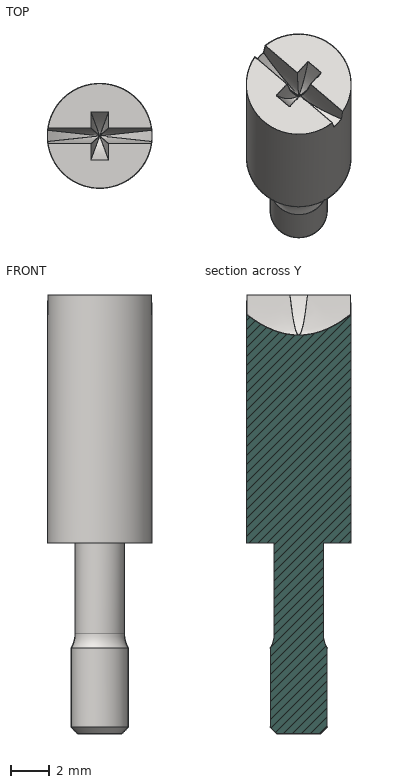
import cadquery as cq
import math

total_length = 23.0
head_length = 13.0
head_base_z = total_length - head_length

head_diameter = 5.5
neck_diameter = 2.6
thread_diameter = 3.0

thread_length = 4.5
tip_chamfer = 0.35
runout_radius = 1.5

recess_depth = 2.1
slot_width = 0.82
slot_edge_depth = 1.0
cross_arm_width = 0.92
cross_arm_length = 2.5


def turned_body():
    """Revolve the half profile of tip, thread, run-out, neck and head about Z."""
    thread_radius = thread_diameter / 2
    neck_radius = neck_diameter / 2
    head_radius = head_diameter / 2

    arc_angle = math.acos(1 - (thread_radius - neck_radius) / runout_radius)
    runout_end_z = thread_length + runout_radius * math.sin(arc_angle)
    arc_middle = (
        neck_radius + runout_radius * (1 - math.cos(arc_angle / 2)),
        runout_end_z - runout_radius * math.sin(arc_angle / 2),
    )

    profile = (
        cq.Workplane("XZ")
        .moveTo(0, 0)
        .lineTo(thread_radius - tip_chamfer, 0)
        .lineTo(thread_radius, tip_chamfer)
        .lineTo(thread_radius, thread_length)
        .threePointArc(arc_middle, (neck_radius, runout_end_z))
        .lineTo(neck_radius, head_base_z)
        .lineTo(head_radius, head_base_z)
        .lineTo(head_radius, total_length)
        .lineTo(0, total_length)
        .close()
    )
    return profile.revolve(360, (0, 0, 0), (0, 1, 0))


def parabolic_trough(plane, width, length):
    """Trough with a parabolic section, centred along its length on the given plane."""
    half_width = width / 2
    return (
        cq.Workplane(plane, origin=(0, 0, total_length))
        .workplane(offset=-length / 2)
        .bezier([(-half_width, 0), (0, -2 * recess_depth), (half_width, 0)])
        .close()
        .extrude(length)
    )


def recess_arm(length_x, length_y):
    """Rectangular pocket whose four sides curve down to one point on the axis."""
    across_x = parabolic_trough("XZ", length_x, length_y)
    across_y = parabolic_trough("YZ", length_y, length_x)
    return across_x.intersect(across_y)


slot_length = head_diameter / math.sqrt(1 - slot_edge_depth / recess_depth)
slot = recess_arm(slot_length, slot_width)
cross_arm = recess_arm(cross_arm_width, cross_arm_length)

result = turned_body().cut(slot).cut(cross_arm)